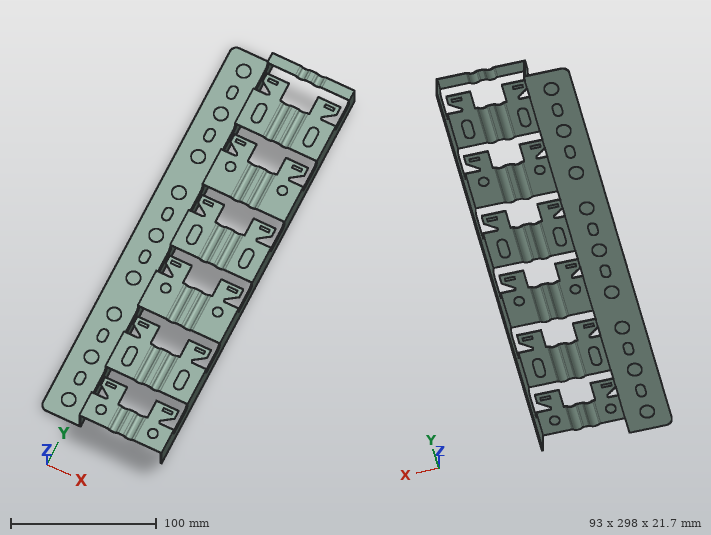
import cadquery as cq
import math

length = 298.0
width = 93.0
height = 21.0
sheet = 1.0
flange_width = 30.0
flange_corner = 4.8
bridge_middle = (flange_width + width) / 2

groove_offset = 6.0
groove_width = 8.3
groove_depth = 1.95
groove_shoulder = 1.8

window_count = 6
end_strip = 8.0
window_length = 21.2
last_plate = 19.0
pitch = (length - end_strip - window_length - last_plate) / (window_count - 1)
notch_depth = 7.2
notch_corner = 4.0

hook_length = 14.0
hook_outer = 3.3
hook_inner = 20.3
slit_end = 11.5
slit_radius = 1.2
slit_angle = math.radians(35)

proud = 0.35
pad_thickness = sheet + 2 * proud
plate_knockout = 7.0
plate_slot_length = 15.0
plate_knockout_inset = 11.5
plate_slot_from_edge = 15.0
plate_round_from_edge = 9.0
rib_length = 7.0
rib_width = 2.0
rib_inset = 9.8
rib_from_hook_end = 4.0
flange_round = 9.8
flange_slot_width = 6.3
flange_slot_length = 9.8
flange_knockout_x = flange_width / 2
flange_first_round = 14.0
flange_group_count = 3
flange_group_pitch = 2 * pitch
flange_span = length - 2 * flange_first_round
flange_group_length = flange_span - (flange_group_count - 1) * flange_group_pitch


def groove_line(section, middle, step, drop):
    """Continue the section line across one groove of three tangent arcs.

    step is +1 or -1 for the travel along X; drop is how far the line lies below the top surface.
    """
    half_width = groove_width / 2
    lean = 2 * math.atan(groove_depth / half_width)
    top_shoulder_radius = groove_shoulder / math.sin(lean)
    shoulder_center = height - top_shoulder_radius
    shoulder_radius = top_shoulder_radius - drop

    def on_shoulder(side, angle):
        return (
            middle + side * (half_width - shoulder_radius * math.sin(angle)),
            shoulder_center + shoulder_radius * math.cos(angle),
        )

    floor = (middle, height - groove_depth - drop)
    return (
        section.lineTo(*on_shoulder(-step, 0))
        .threePointArc(on_shoulder(-step, lean / 2), on_shoulder(-step, lean))
        .threePointArc(floor, on_shoulder(step, lean))
        .threePointArc(on_shoulder(step, lean / 2), on_shoulder(step, 0))
    )


def make_channel():
    """The bent sheet, extruded over the full length."""
    near_groove = bridge_middle - groove_offset
    far_groove = bridge_middle + groove_offset
    section = (
        cq.Workplane("XZ")
        .moveTo(0, 0)
        .lineTo(0, sheet)
        .lineTo(flange_width, sheet)
        .lineTo(flange_width, height)
    )
    section = groove_line(section, near_groove, 1, 0)
    section = groove_line(section, far_groove, 1, 0)
    section = (
        section.lineTo(width, height)
        .lineTo(width, sheet)
        .lineTo(width - sheet, sheet)
        .lineTo(width - sheet, height - sheet)
    )
    section = groove_line(section, far_groove, -1, sheet)
    section = groove_line(section, near_groove, -1, sheet)
    section = (
        section.lineTo(flange_width + sheet, height - sheet)
        .lineTo(flange_width + sheet, 0)
        .close()
    )
    channel = section.extrude(-length)
    return channel.edges("|Z").edges("<X").fillet(flange_corner)


def window_cutter(plate_edge):
    """The opening of one window, down to the floor of the wall notches."""
    cutter = (
        cq.Workplane("XY", origin=(0, plate_edge, height - notch_depth))
        .rect(width - flange_width, window_length, centered=False)
        .extrude(2 * notch_depth)
        .translate((flange_width, 0, 0))
    )
    return cutter.edges("|X").edges(">Y and <Z").fillet(notch_corner)


def both_sides(shape):
    """A left-hand shape together with its mirror image about the middle of the bridge."""
    return shape.union(shape.mirror("YZ", (bridge_middle, 0, 0)))


def hooks(plate_edge):
    """The pair of hooks, each with a tapered, round-ended slit behind its tip."""
    end = plate_edge + hook_length
    outer = flange_width + hook_outer
    inner = flange_width + hook_inner
    round_x = flange_width + slit_end - slit_radius
    round_y = plate_edge + slit_radius
    taper_start_x = round_x + slit_radius * math.sin(slit_angle)
    taper_start_y = round_y + slit_radius * math.cos(slit_angle)
    taper_end_y = taper_start_y + (taper_start_x - outer) * math.tan(slit_angle)
    hook = (
        cq.Workplane("XY", origin=(0, 0, height - sheet))
        .moveTo(outer, end)
        .lineTo(inner, end)
        .lineTo(inner, plate_edge)
        .lineTo(round_x, plate_edge)
        .threePointArc((round_x + slit_radius, round_y), (taper_start_x, taper_start_y))
        .lineTo(outer, taper_end_y)
        .close()
        .extrude(sheet)
    )
    return both_sides(hook)


def pad_plane(sheet_underside, x, y):
    """A horizontal workplane at the lower face of the pads on one level of the sheet."""
    return cq.Workplane("XY", origin=(x, y, sheet_underside - proud))


def plate_pads(plate_edge, slotted):
    """The pads of one plate: a rib on each hook and a slot-shaped or round knockout on each side."""
    underside = height - sheet
    rib_y = plate_edge + hook_length - rib_from_hook_end
    rib = pad_plane(underside, flange_width + rib_inset, rib_y).rect(rib_length, rib_width)
    knockout_x = flange_width + plate_knockout_inset
    if slotted:
        knockout = pad_plane(underside, knockout_x, plate_edge - plate_slot_from_edge)
        knockout = knockout.slot2D(plate_slot_length, plate_knockout, 90)
    else:
        knockout = pad_plane(underside, knockout_x, plate_edge - plate_round_from_edge)
        knockout = knockout.circle(plate_knockout / 2)
    return both_sides(rib.extrude(pad_thickness).union(knockout.extrude(pad_thickness)))


def flange_pads(group_start):
    """One group of flange knockouts: three rounds with a slot in each gap."""
    half = flange_group_length / 2
    middle = pad_plane(0, flange_knockout_x, group_start + half)
    rounds = middle.pushPoints([(0, -half), (0, 0), (0, half)]).circle(flange_round / 2)
    rounds = rounds.extrude(pad_thickness)
    slots = middle.pushPoints([(0, -half / 2), (0, half / 2)])
    slots = slots.slot2D(flange_slot_length, flange_slot_width, 90)
    return rounds.union(slots.extrude(pad_thickness))


result = make_channel()
for window in range(window_count):
    plate_edge = length - end_strip - window_length - window * pitch
    result = result.cut(window_cutter(plate_edge))
    result = result.union(hooks(plate_edge))
    result = result.union(plate_pads(plate_edge, slotted=window % 2 == 0))
for group in range(flange_group_count):
    group_start = flange_first_round + group * flange_group_pitch
    result = result.union(flange_pads(group_start))